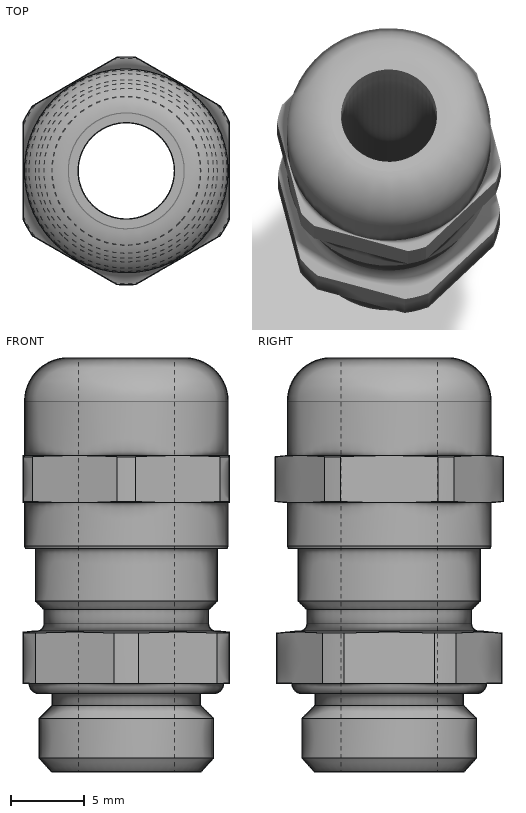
import cadquery as cq

total_height = 28.1
bore_radius = 3.25
across_flats = 14.0

thread_radius = 5.93
thread_tip_radius = 5.05
thread_chamfer_top = 0.95
thread_top = 3.62
relief_radius = 5.03
relief_bottom = 4.52

collar_radius = 6.6
collar_bottom = 5.3

body_hex_bottom = 6.0
collar_round = body_hex_bottom - collar_bottom
body_hex_top = 9.55
body_hex_corner_radius = 7.65
body_hex_face_radius = 6.35
body_hex_corner_drop = 0.15

neck_radius = 5.6
neck_fillet = 0.5
neck_top = 11.02
upper_body_radius = 6.18
upper_body_bottom = 11.6

cap_radius = 6.9
cap_bottom = 15.15
cap_edge_height = 0.17
cap_edge_width = 0.08
dome_radius = 2.98
cap_hex_bottom = 18.26
cap_hex_top = 21.47
cap_hex_corner_diameter = 15.48
cap_hex_corner_radius = cap_hex_corner_diameter / 2
cap_hex_corner_drop = 0.08


def revolve_profile(profile):
    """Turn a closed radius-height profile about the Z axis."""
    return profile.close().revolve(360, (0, 0, 0), (0, 1, 0))


def hexagon(bottom, top, corner_radius, face_radius, bottom_drop, top_drop):
    """Hexagonal prism with round corners and conical end faces."""
    prism = (
        cq.Workplane("XY")
        .workplane(offset=bottom)
        .polygon(6, across_flats, circumscribed=True)
        .extrude(top - bottom)
    )
    envelope = revolve_profile(
        cq.Workplane("XZ")
        .moveTo(0, bottom)
        .lineTo(face_radius, bottom)
        .lineTo(corner_radius, bottom + bottom_drop)
        .lineTo(corner_radius, top - top_drop)
        .lineTo(face_radius, top)
        .lineTo(0, top)
    )
    return prism.intersect(envelope)


def turned_body():
    """All round stages from the threaded end up to the dome."""
    fillet_center_radius = neck_radius + neck_fillet
    neck_bottom = body_hex_top + neck_fillet
    return revolve_profile(
        cq.Workplane("XZ")
        .moveTo(0, 0)
        .lineTo(thread_tip_radius, 0)
        .lineTo(thread_radius, thread_chamfer_top)
        .lineTo(thread_radius, thread_top)
        .lineTo(relief_radius, relief_bottom)
        .lineTo(relief_radius, collar_bottom)
        .lineTo(collar_radius - collar_round, collar_bottom)
        .radiusArc((collar_radius, body_hex_bottom), -collar_round)
        .lineTo(fillet_center_radius, body_hex_top)
        .radiusArc((neck_radius, neck_bottom), neck_fillet)
        .lineTo(neck_radius, neck_top)
        .lineTo(upper_body_radius, upper_body_bottom)
        .lineTo(upper_body_radius, cap_bottom)
        .lineTo(cap_radius - cap_edge_width, cap_bottom)
        .lineTo(cap_radius, cap_bottom + cap_edge_height)
        .lineTo(cap_radius, total_height - dome_radius)
        .radiusArc((cap_radius - dome_radius, total_height), -dome_radius)
        .lineTo(0, total_height)
    )


body_hex = hexagon(
    body_hex_bottom,
    body_hex_top,
    body_hex_corner_radius,
    body_hex_face_radius,
    bottom_drop=0,
    top_drop=body_hex_corner_drop,
)
cap_hex = hexagon(
    cap_hex_bottom,
    cap_hex_top,
    cap_hex_corner_radius,
    cap_radius,
    bottom_drop=cap_hex_corner_drop,
    top_drop=cap_hex_corner_drop,
)
bore = cq.Workplane("XY").circle(bore_radius).extrude(total_height)

result = turned_body().union(body_hex).union(cap_hex).cut(bore)